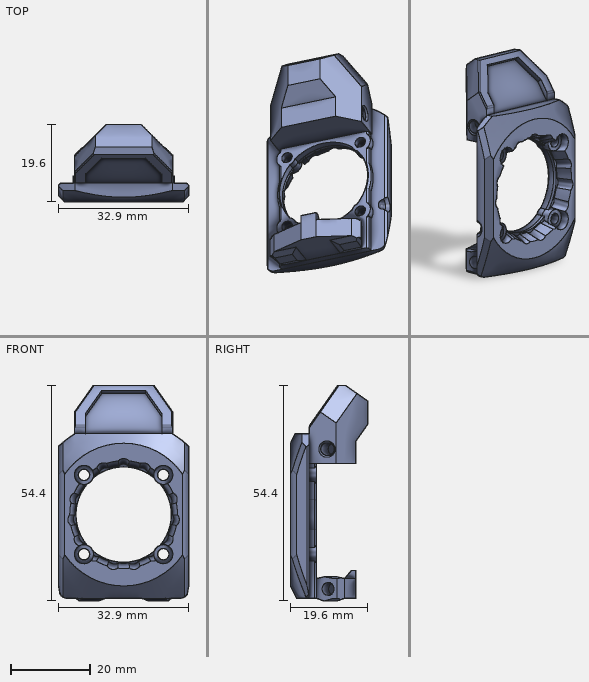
import cadquery as cq
import math

CUT = 60.0

bore_radius = 12.0
screw_pitch = 20.0
screw_hole_diameter = 2.8
screw_boss_radius = 2.4
bottom_z = -21.15
rear_half_width = 12.4
screw_points = [(sx * screw_pitch / 2, sz * screw_pitch / 2) for sx in (-1, 1) for sz in (-1, 1)]

side_screw_diameter = 3.2
side_screw_depth = 4.8

bezel_half_width = 16.46
bezel_depth = 4.75
bezel_top_z = 20.4
bezel_corner_radius = 23.8
bezel_bottom_fillet = 2.4
front_circle_radius = 18.0
cone_slope = 0.5
side_bevel_width = 1.61
rim_bevel_width = 1.11
rim_bevel_fall = 1.42
rear_bevel = 0.55
ledge_depth = 0.9
funnel_rear_radius = 12.3
funnel_front_radius = 13.6
scallop_count = 15
scallop_radius = 1.9
scallop_front_radius = 14.0
scallop_rear_radius = 12.6
counterbore_floor_depth = 2.3
side_hole_z = -8.25
side_hole_diameter = 2.8
side_sink_diameter = 4.45
side_sink_depth = 0.9

plate_half_width = 12.2
plate_thickness = 1.85
plate_bevel = 0.55
plate_ring_radius = 12.77
plate_boss_radius = 2.77

hood_bottom_z = 12.86
hood_top_z = 32.6
hood_rear_y = 14.81
hood_corner_y = 6.8
hood_base_rear_y = 11.79
hood_bend_z = 22.35
hood_rear_bend_z = 18.5
hood_slope = math.radians(55)
hood_face_height = 13.63
hood_shoulder_height = 4.5
hood_corner_angle = math.radians(30)
hood_edge_bevel = 0.3
hood_border = 2.75
hood_recess_depth = 1.34
hood_hole_point = (4.48, 16.5)
hood_hole_sink_diameter = 4.1
hood_hole_tilt = math.radians(22)

mount_top_z = -16.1
mount_side_tilt = math.radians(20)
mount_corner_y = 7.05
mount_corner_end_y = 8.9
mount_rear_y = 11.79
mount_hole_y = 4.75
mount_hole_z = -18.75
pad_half_height = 3.08
tab_half_width = 2.1
tab_top_z = -14.05
tab_top_thickness = 1.1
pad_inner_x = 4.6
pad_outer_x = 12.0
pad_inner_run = 1.8
pad_outer_run = 0.85
pad_end_run = 1.9


def y_cylinder(x, z, radius, y_start, y_end):
    """Cylinder along Y between two depths."""
    length = y_end - y_start
    return cq.Workplane(cq.Solid.makeCylinder(radius, length, cq.Vector(x, y_start, z), cq.Vector(0, 1, 0)))


def screw_cylinders(radius, y_start, y_end):
    """The four cylinders on the screw pattern."""
    group = cq.Workplane()
    for x, z in screw_points:
        group = group.add(y_cylinder(x, z, radius, y_start, y_end))
    return group.combine()


def box(x0, x1, y0, y1, z0, z1):
    """Box between two opposite corners."""
    return cq.Workplane("XY").box(x1 - x0, y1 - y0, z1 - z0, centered=False).translate((x0, y0, z0))


def mirrored_outline(right_points):
    """Closed outline from the points of its right half."""
    return right_points + [(-x, v) for x, v in reversed(right_points)]


def bezel_outline():
    """Upright outline: round upper corners on the bore centre, filleted lower corners."""
    outline = box(-bezel_half_width, bezel_half_width, -bezel_depth, 0, bottom_z, bezel_top_z)
    outline = outline.edges("|Y and <Z").fillet(bezel_bottom_fillet)
    upper = y_cylinder(0, 0, bezel_corner_radius, -bezel_depth, 0)
    lower = box(-CUT, CUT, -bezel_depth, 0, bottom_z, 0)
    return outline.intersect(upper.union(lower))


def bezel_body():
    """Bezel block with conical rim, and bevels that follow the rim along both sides."""
    core_x = bezel_half_width - rim_bevel_width
    core = box(-core_x, core_x, -bezel_depth, 0, bottom_z, bezel_top_z)
    cone = cq.Workplane(cq.Solid.makeCone(
        front_circle_radius, front_circle_radius + CUT, CUT * cone_slope,
        cq.Vector(0, -bezel_depth, 0), cq.Vector(0, 1, 0),
    ))
    core = core.intersect(cone)
    body = core
    for side, end in ((-1, "<X"), (1, ">X")):
        sweep = cq.Vector(side * rim_bevel_width, rim_bevel_fall, 0)
        body = body.union(cq.Workplane(cq.Solid.extrudeLinear(core.faces(end).val(), sweep)))
    beveled_plan = cq.Workplane("XY").polyline(mirrored_outline([
        (bezel_half_width - side_bevel_width, -bezel_depth),
        (bezel_half_width, -bezel_depth + side_bevel_width),
        (bezel_half_width, -rear_bevel),
        (bezel_half_width - rear_bevel, 0),
    ])).close().extrude(CUT, both=True)
    return body.intersect(beveled_plan).intersect(bezel_outline())


def scallop(angle):
    """Leaning cylinder that cuts one flute in the funnel, deepest at the front."""
    overrun = 1.0
    front_axis = scallop_front_radius - scallop_radius
    rear_axis = scallop_rear_radius - scallop_radius
    run = bezel_depth - ledge_depth
    lean = cq.Vector(0, run, rear_axis - front_axis)
    start = cq.Vector(0, -bezel_depth, front_axis) - lean.normalized() * overrun
    flute = cq.Workplane(cq.Solid.makeCylinder(scallop_radius, lean.Length + overrun, start, lean))
    flute = flute.intersect(box(-CUT, CUT, -CUT, -ledge_depth, 0, CUT))
    return flute.rotate((0, 0, 0), (0, 1, 0), angle)


def side_hole():
    """Countersunk dimple with a round bottom in the left side, open towards the rear face."""
    start = cq.Vector(-bezel_half_width, 0, side_hole_z)
    inward = cq.Vector(1, 0, 0)
    radius = side_hole_diameter / 2
    sink = cq.Workplane(cq.Solid.makeCone(side_sink_diameter / 2, radius, side_sink_depth, start, inward))
    dimple = cq.Workplane("XY").sphere(radius).translate(start + inward * side_sink_depth)
    return sink.union(dimple)


def make_bezel():
    """Front bezel with fluted funnel, screw bosses and counterbored screw holes."""
    bezel = bezel_body()
    funnel = cq.Workplane(cq.Solid.makeCone(
        funnel_front_radius, funnel_rear_radius, bezel_depth - ledge_depth,
        cq.Vector(0, -bezel_depth, 0), cq.Vector(0, 1, 0),
    ))
    bezel = bezel.cut(funnel).cut(y_cylinder(0, 0, bore_radius, -bezel_depth, 0))
    for index in range(scallop_count):
        bezel = bezel.cut(scallop(index * 360 / scallop_count))
    bezel = bezel.union(screw_cylinders(screw_boss_radius, -counterbore_floor_depth, 0))
    bezel = bezel.cut(screw_cylinders(screw_boss_radius, -bezel_depth, -counterbore_floor_depth))
    bezel = bezel.cut(screw_cylinders(screw_hole_diameter / 2, -bezel_depth, 0))
    return bezel.cut(side_hole())


def make_plate():
    """Back plate with a ring around the bore and a boss at each screw."""
    plate = box(-plate_half_width, plate_half_width, 0, plate_thickness, bottom_z, hood_bottom_z)
    plate = plate.edges("|Z and >Y").chamfer(plate_bevel)
    ring = y_cylinder(0, 0, plate_ring_radius, 0, plate_thickness).faces(">Y").chamfer(plate_bevel)
    plate = plate.union(ring).union(screw_cylinders(plate_boss_radius, 0, plate_thickness))
    plate = plate.cut(y_cylinder(0, 0, bore_radius, 0, plate_thickness))
    plate = plate.union(screw_cylinders(screw_boss_radius, 0, plate_thickness))
    return plate.cut(screw_cylinders(screw_hole_diameter / 2, 0, plate_thickness))


def hood_face_outline(inset):
    """Right half of the sloping face, shrunk by an inset; it runs on past the bend."""
    side_x = rear_half_width - inset
    shoulder = hood_shoulder_height - inset * math.tan(hood_corner_angle / 2)
    top = hood_face_height - inset
    top_x = side_x - (top - shoulder) * math.tan(hood_corner_angle)
    return [(side_x, -hood_face_height), (side_x, shoulder), (top_x, top)]


def tilted_hole(x, y, z, tilt):
    """Blind hole from the left that leans towards the rear."""
    lean = cq.Vector(math.cos(tilt), math.sin(tilt), 0)
    start = cq.Vector(x, y, z) - lean * side_screw_diameter
    return cq.Workplane(cq.Solid.makeCylinder(
        side_screw_diameter / 2, side_screw_depth + side_screw_diameter, start, lean,
    ))


def make_hood():
    """Hood with a sloping front, cut corners, a recessed front panel and two side holes."""
    slope_cos = math.cos(hood_slope)
    slope_sin = math.sin(hood_slope)
    rear_rise = (hood_rear_y - hood_base_rear_y) * math.tan(hood_slope)
    front_top_y = (hood_top_z - hood_bend_z) / math.tan(hood_slope)
    crest_z = hood_bend_z + (hood_face_height - hood_rear_y * slope_cos) / slope_sin
    crest_y = hood_rear_y - (hood_top_z - crest_z) * math.tan(hood_slope)
    hood = cq.Workplane("YZ").polyline([
        (0, hood_bottom_z),
        (0, hood_bend_z),
        (front_top_y, hood_top_z),
        (crest_y, hood_top_z),
        (hood_rear_y, crest_z),
        (hood_rear_y, hood_rear_bend_z + rear_rise),
        (hood_base_rear_y, hood_rear_bend_z),
        (hood_base_rear_y, hood_bottom_z),
    ]).close().extrude(rear_half_width, both=True)
    rear_x = rear_half_width - (hood_rear_y - hood_corner_y)
    plan = cq.Workplane("XY").polyline(mirrored_outline(
        [(rear_half_width, 0), (rear_half_width, hood_corner_y), (rear_x, hood_rear_y)]
    )).close().extrude(CUT)
    face_plane = cq.Plane((0, 0, hood_bend_z), (1, 0, 0), (0, -slope_sin, slope_cos))
    face_prism = cq.Workplane(face_plane).polyline(
        mirrored_outline(hood_face_outline(0))
    ).close().extrude(CUT, both=True)
    hood = hood.intersect(plan).intersect(face_prism)

    sloping_face = hood.faces(cq.selectors.DirectionMinMaxSelector(face_plane.zDir))
    hood = sloping_face.edges("not >Z").chamfer(hood_edge_bevel)
    recess = cq.Workplane(face_plane).workplane(offset=-hood_recess_depth).polyline(
        mirrored_outline(hood_face_outline(hood_border))
    ).close().extrude(CUT)
    hood = hood.cut(recess)

    hole_y, hole_z = hood_hole_point
    sink_depth = (hood_hole_sink_diameter - side_screw_diameter) / 2
    hole = tilted_hole(-rear_half_width, hole_y, hole_z, hood_hole_tilt)
    sink = cq.Workplane(cq.Solid.makeCone(
        hood_hole_sink_diameter / 2, side_screw_diameter / 2, sink_depth,
        cq.Vector(-rear_half_width, hole_y, hole_z), cq.Vector(1, 0, 0),
    ))
    hole = hole.union(sink)
    return hood.cut(hole).cut(hole.mirror("YZ"))


def mount_pad(base_z, crown_z):
    """Raised pad with sloping flanks on the right arm."""
    base_x = (pad_inner_x, pad_outer_x)
    crown_x = (pad_inner_x + pad_inner_run, pad_outer_x - pad_outer_run)
    base_y = (plate_thickness, mount_corner_end_y)
    crown_y = (plate_thickness + pad_end_run, mount_corner_end_y - pad_end_run)
    sections = []
    for (x0, x1), (y0, y1), z in ((base_x, base_y, base_z), (crown_x, crown_y, crown_z)):
        corners = [(x0, y0, z), (x1, y0, z), (x1, y1, z), (x0, y1, z)]
        sections.append(cq.Wire.makePolygon([cq.Vector(*corner) for corner in corners], close=True))
    return cq.Workplane(cq.Solid.makeLoft(sections, True))


def make_mount():
    """Lower mount with leaning ends, a latch tab and padded screw holes."""
    corner_run = mount_corner_end_y - mount_corner_y
    front_x = rear_half_width - (mount_corner_y - plate_thickness) * math.tan(mount_side_tilt)
    plan_points = mirrored_outline([
        (front_x, plate_thickness),
        (rear_half_width, mount_corner_y),
        (rear_half_width - corner_run, mount_corner_end_y),
        (tab_half_width, mount_rear_y),
    ])
    height = mount_top_z - bottom_z
    mount = cq.Workplane("XY").workplane(offset=bottom_z).polyline(plan_points).close().extrude(height)
    tab = cq.Workplane("YZ").polyline([
        (mount_corner_end_y, mount_top_z),
        (mount_rear_y - tab_top_thickness, tab_top_z),
        (mount_rear_y, tab_top_z),
        (mount_rear_y, mount_top_z),
    ]).close().extrude(tab_half_width, both=True)
    mount = mount.union(tab)

    limits = cq.Workplane("XY").workplane(offset=-CUT).polyline(plan_points).close().extrude(CUT)
    upper_pad = mount_pad(mount_top_z, mount_hole_z + pad_half_height).intersect(limits)
    lower_pad = mount_pad(bottom_z, mount_hole_z - pad_half_height).intersect(limits)
    hole_x = -front_x - (mount_hole_y - plate_thickness) * math.tan(mount_side_tilt)
    hole = tilted_hole(hole_x, mount_hole_y, mount_hole_z, mount_side_tilt)
    for pad in (upper_pad, lower_pad):
        mount = mount.union(pad).union(pad.mirror("YZ"))
    return mount.cut(hole).cut(hole.mirror("YZ"))


bezel = make_bezel()
plate = make_plate()
hood = make_hood()
mount = make_mount()

result = cq.Compound.makeCompound([bezel.val(), plate.val(), hood.val(), mount.val()])